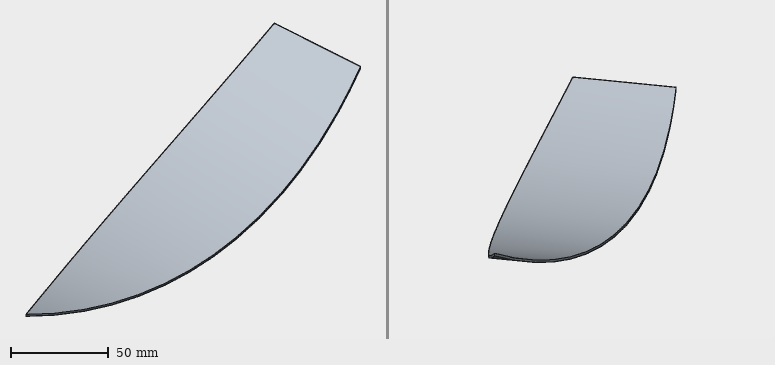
import cadquery as cq

length = 251.0
height = 32.5
thickness = 1.3
max_width = 67.8
end_width = 54.7
widest_y = 49.0

half_length = length / 2
half_width = max_width / 2
half_end = end_width / 2

upper_rise = height - thickness
upper_radius = (half_length**2 + upper_rise**2) / (2 * upper_rise)
lower_radius = upper_radius + thickness


def bent_shell():
    """Thin tube along X, wider than the leaf, whose lowest line touches Z = 0."""
    return (
        cq.Workplane("YZ")
        .center(0, lower_radius)
        .circle(lower_radius)
        .circle(upper_radius)
        .extrude(max_width, both=True)
    )


def leaf_prism():
    """Upright prism with the leaf outline: a pointed tip, bowed sides and a straight end."""
    return (
        cq.Workplane("XY", origin=(0, 0, -thickness))
        .moveTo(0, -half_length)
        .threePointArc((half_width, widest_y), (half_end, half_length))
        .lineTo(-half_end, half_length)
        .threePointArc((-half_width, widest_y), (0, -half_length))
        .close()
        .extrude(lower_radius)
    )


result = bent_shell().intersect(leaf_prism())